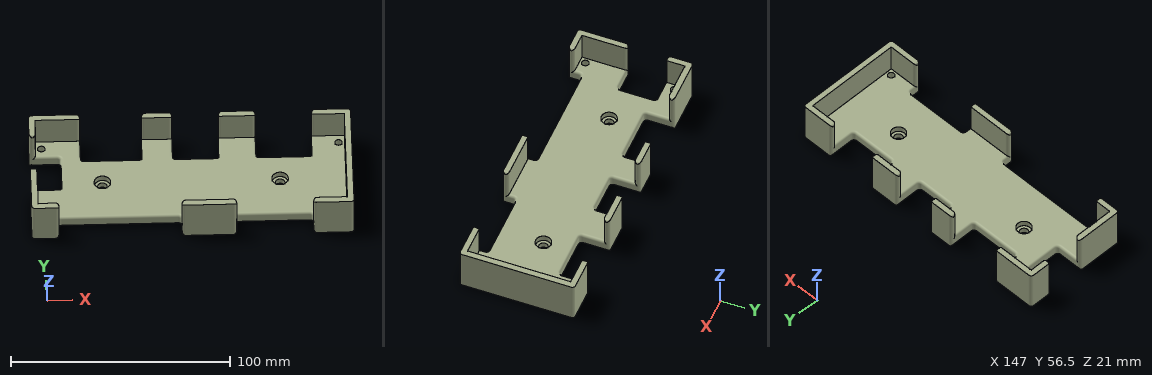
import cadquery as cq

LENGTH = 147.0
WIDTH = 56.5
HEIGHT = 21.0
WALL = 3.0
FLOOR = 6.0
CORNER_RADIUS = 1.5

OPENING_RADIUS = 1.5
EDGE_ROUND = 1.49
BACK_DEPTH = 14.5
FRONT_DEPTH = 7.0
LEFT_DEPTH = 14.5
BACK_SPANS = [(23.5, 51.5), (65.5, 86.5), (103.5, 129.0)]
FRONT_SPANS = [(12.5, 68.5), (93.5, 128.5)]
LEFT_SPAN = (25.0, 44.0)

SELECT_MARGIN = 0.01

CORNER_HOLE_DIAMETER = 3.4
CORNER_HOLE_INSET = 5.75
CORNER_HOLE_FRONT_Y = CORNER_HOLE_INSET
CORNER_HOLE_SPACING_Y = 43.5

MOUNT_HOLE_DIAMETER = 4.4
MOUNT_BORE_DIAMETER = 7.5
MOUNT_BORE_DEPTH = 3.0
MOUNT_HOLE_INSET = 33.0


def block(x_range, y_range, z_range):
    """Axis-aligned box given by its start and end along each axis."""
    starts = (x_range[0], y_range[0], z_range[0])
    sizes = [end - start for start, end in (x_range, y_range, z_range)]
    return cq.Workplane("XY").box(*sizes, centered=False).translate(starts)


def make_tray():
    """Open tray with rounded outer corners and sharp inner ones."""
    body = block((0, LENGTH), (0, WIDTH), (0, HEIGHT)).edges("|Z").fillet(CORNER_RADIUS)
    cavity = block((WALL, LENGTH - WALL), (WALL, WIDTH - WALL), (FLOOR, HEIGHT))
    return body.cut(cavity)


def opening_ranges():
    """X and Y ranges of each opening, running past the outer wall faces."""
    past = WALL
    back = [(span, (WIDTH - BACK_DEPTH, WIDTH + past)) for span in BACK_SPANS]
    front = [(span, (-past, FRONT_DEPTH)) for span in FRONT_SPANS]
    left = [((-past, LEFT_DEPTH), LEFT_SPAN)]
    return back + front + left


def cut_opening(body, x_range, y_range):
    """Cut one opening and round its rim: wall ends and both edges of the floor."""
    cutter = block(x_range, y_range, (0, HEIGHT)).edges("|Z").fillet(OPENING_RADIUS)
    opened = body.cut(cutter)
    rim = cq.selectors.BoxSelector(
        (x_range[0] - SELECT_MARGIN, y_range[0] - SELECT_MARGIN, -SELECT_MARGIN),
        (x_range[1] + SELECT_MARGIN, y_range[1] + SELECT_MARGIN, HEIGHT + SELECT_MARGIN),
        boundingbox=True,
    )
    below_floor = cq.selectors.BoxSelector((0, 0, 0), (LENGTH, WIDTH, FLOOR))
    upright = cq.selectors.ParallelDirSelector(cq.Vector(0, 0, 1))
    return opened.edges(rim - (below_floor & upright)).fillet(EDGE_ROUND)


def round_posts(points, diameter, bottom, top):
    """Upright cylinders at the given points, used to cut holes."""
    plane = cq.Workplane("XY", origin=(0, 0, bottom))
    return plane.pushPoints(points).circle(diameter / 2).extrude(top - bottom)


def cut_corner_holes(body):
    """Through holes in the floor near the four corners."""
    points = [
        (x, y)
        for x in (CORNER_HOLE_INSET, LENGTH - CORNER_HOLE_INSET)
        for y in (CORNER_HOLE_FRONT_Y, CORNER_HOLE_FRONT_Y + CORNER_HOLE_SPACING_Y)
    ]
    return body.cut(round_posts(points, CORNER_HOLE_DIAMETER, 0, FLOOR))


def cut_mount_holes(body):
    """Through holes with counterbores sunk from the floor's upper face."""
    points = [(x, WIDTH / 2) for x in (MOUNT_HOLE_INSET, LENGTH - MOUNT_HOLE_INSET)]
    holes = round_posts(points, MOUNT_HOLE_DIAMETER, 0, FLOOR)
    bores = round_posts(points, MOUNT_BORE_DIAMETER, FLOOR - MOUNT_BORE_DEPTH, FLOOR)
    return body.cut(holes).cut(bores)


tray = make_tray()
for opening_x, opening_y in opening_ranges():
    tray = cut_opening(tray, opening_x, opening_y)
tray = cut_corner_holes(tray)
result = cut_mount_holes(tray)